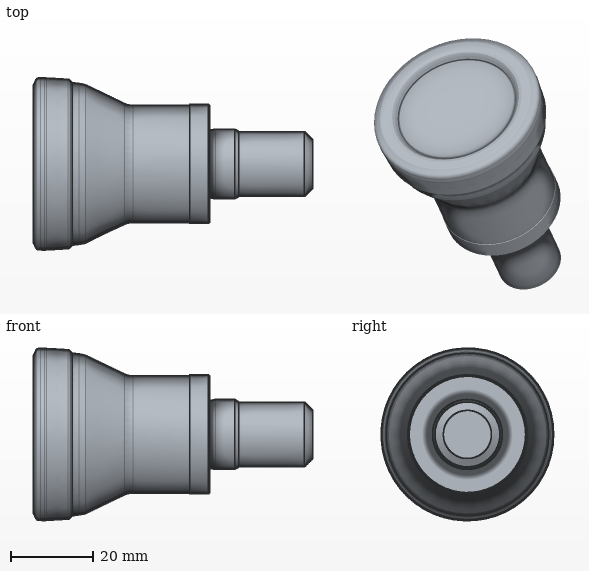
import cadquery as cq

total_length = 68.0
ring_length = 9.45
disc_face_x = 1.35
collar_start_x = 38.1
collar_end_x = 42.9
shank_start_x = 50.0

ring_radius = 20.98
seat_radius = 14.95
flare_radius = 19.8
sleeve_radius = 28.6 / 2
collar_radius = 29.0 / 2
shoulder_radius = 17.0 / 2
shank_radius = 15.8 / 2

face_outer_radius = 18.8
bevel_start = (0.2, 19.4)
bevel_end = (0.6, 20.3)
rim_start = (1.7, 20.91)
rim_end_x = 2.7
side_start = (3.1, 20.91)
side_end = (8.4, 20.6)
back_bevel_start = (9.05, 20.2)

face_inner_radius = 16.8
lip_end = (0.2, 16.05)
wall_start = (0.4, 15.85)
wall_end = (1.15, 15.2)

disc_edge = 0.5
flare_straight_end_x = 11.1
flare_straight_end_radius = 19.6
cone_start_x = 12.7
cone_start_radius = 19.25
cone_end_x = 22.2
cone_end_radius = 14.7
sleeve_start_x = 24.2
collar_edge = 0.35
relief_radius = 8.3
relief_end_x = 43.4
shoulder_start_x = 44.3
shoulder_end_x = 48.95
tip_chamfer = 2.05


def revolve_about_x(profile):
    """Turn a closed XY profile, with Y as radius, about the X axis."""
    return profile.close().revolve(360, (0, 0, 0), (1, 0, 0))


def make_bumper_ring():
    """Rounded ring that fits round the front boss of the core."""
    return revolve_about_x(
        cq.Workplane("XY")
        .moveTo(0, face_inner_radius)
        .lineTo(0, face_outer_radius)
        .tangentArcPoint(bevel_start, relative=False)
        .lineTo(*bevel_end)
        .tangentArcPoint(rim_start, relative=False)
        .lineTo(rim_end_x, ring_radius)
        .lineTo(*side_start)
        .lineTo(*side_end)
        .tangentArcPoint(back_bevel_start, relative=False)
        .lineTo(ring_length, flare_radius)
        .lineTo(ring_length, seat_radius)
        .lineTo(disc_face_x, seat_radius)
        .lineTo(*wall_end)
        .lineTo(*wall_start)
        .lineTo(*lip_end)
    )


def make_core():
    """Flared body with front boss, sleeve, collar and stepped shank."""
    return revolve_about_x(
        cq.Workplane("XY")
        .moveTo(disc_face_x, 0)
        .lineTo(disc_face_x, seat_radius - disc_edge)
        .lineTo(disc_face_x + disc_edge, seat_radius)
        .lineTo(ring_length, seat_radius)
        .lineTo(ring_length, flare_radius)
        .lineTo(flare_straight_end_x, flare_straight_end_radius)
        .tangentArcPoint((cone_start_x, cone_start_radius), relative=False)
        .lineTo(cone_end_x, cone_end_radius)
        .tangentArcPoint((sleeve_start_x, sleeve_radius), relative=False)
        .lineTo(collar_start_x, sleeve_radius)
        .lineTo(collar_start_x, collar_radius)
        .lineTo(collar_end_x - collar_edge, collar_radius)
        .lineTo(collar_end_x, collar_radius - collar_edge)
        .lineTo(collar_end_x, relief_radius)
        .lineTo(relief_end_x, relief_radius)
        .lineTo(shoulder_start_x, shoulder_radius)
        .lineTo(shoulder_end_x, shoulder_radius)
        .lineTo(shank_start_x, shank_radius)
        .lineTo(total_length - tip_chamfer, shank_radius)
        .lineTo(total_length, shank_radius - tip_chamfer)
        .lineTo(total_length, 0)
    )


bumper_ring = make_bumper_ring()
core = make_core()

result = cq.Compound.makeCompound([bumper_ring.val(), core.val()])